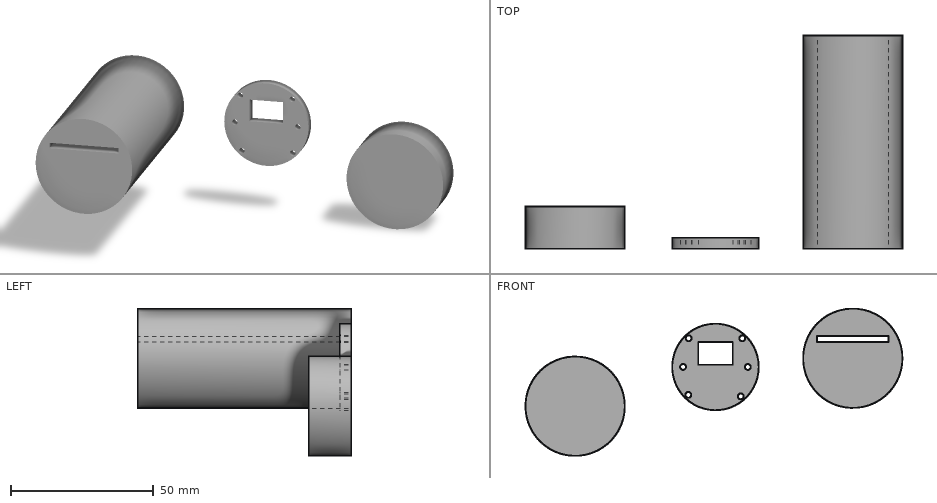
import cadquery as cq

overall_width = 132.5
overall_height = 51.8
outer_diameter = 35.0

cap_length = 15.0

barrel_length = 75.0
barrel_x = overall_width - outer_diameter
barrel_z = overall_height - outer_diameter
slot_width = 25.0
slot_height = 2.0
slot_rise = 6.8

disc_diameter = 30.5
disc_thickness = 4.0
disc_x = 49.3
disc_z = 13.8
window_width = 12.0
window_height = 8.0
window_rise = 4.8
screw_hole_diameter = 2.0
side_hole_x = 11.4
upper_hole_x = 9.4
upper_hole_z = 10.1
lower_left_hole = (-9.5, -9.8)
lower_right_hole = (8.9, -10.3)
screw_holes = [
    (-side_hole_x, 0),
    (side_hole_x, 0),
    (-upper_hole_x, upper_hole_z),
    (upper_hole_x, upper_hole_z),
    lower_left_hole,
    lower_right_hole,
]


def face_plane(x, z):
    """Vertical sketch plane at Y = 0; a negative extrusion runs toward +Y."""
    return cq.Workplane("XZ", origin=(x, 0, z))


def cylinder(x, z, diameter, length):
    return face_plane(x, z).circle(diameter / 2).extrude(-length)


def make_cap():
    return cylinder(0, 0, outer_diameter, cap_length)


def make_disc():
    disc = cylinder(disc_x, disc_z, disc_diameter, disc_thickness)
    window = (
        face_plane(disc_x, disc_z + window_rise)
        .rect(window_width, window_height)
        .extrude(-disc_thickness)
    )
    holes = (
        face_plane(disc_x, disc_z)
        .pushPoints(screw_holes)
        .circle(screw_hole_diameter / 2)
        .extrude(-disc_thickness)
    )
    return disc.cut(window).cut(holes)


def make_barrel():
    barrel = cylinder(barrel_x, barrel_z, outer_diameter, barrel_length)
    slot = (
        face_plane(barrel_x, barrel_z + slot_rise)
        .rect(slot_width, slot_height)
        .extrude(-barrel_length)
    )
    return barrel.cut(slot)


cap = make_cap()
disc = make_disc()
barrel = make_barrel()

result = cq.Compound.makeCompound([cap.val(), disc.val(), barrel.val()])